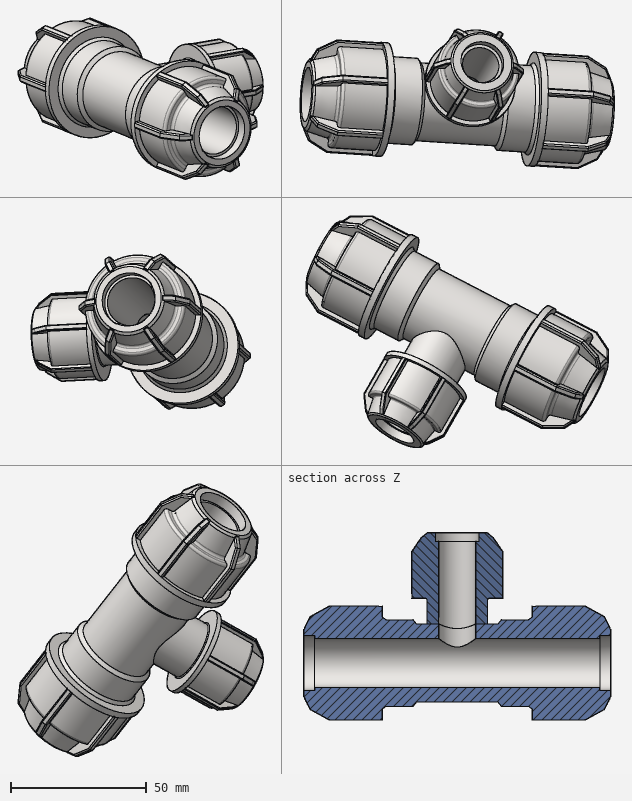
import cadquery as cq
import math


RIB_COUNT = 6
RIB_EMBEDMENT = 1.5
SELECT_MARGIN = 0.1

run_length = 113.0
run_pipe_dia = 20.0
run_bore_dia = 18.0
run_mouth_depth = 4.0
run_tube_dia = 28.8
run_socket_dia = 32.0
run_collar_dia = 34.0
run_collar_length = 1.3
run_socket_end = 40.3
run_socket_taper = 1.3

branch_reach = 48.0
branch_pipe_dia = 16.0
branch_bore_dia = 13.6
branch_mouth_depth = run_mouth_depth * branch_pipe_dia / run_pipe_dia
branch_tube_dia = 22.4
branch_collar_dia = 23.4
branch_collar_length = 0.35

run_nut = {
    "face_radius": 12.35,
    "edge_radius": 13.4,
    "edge_depth": 0.8,
    "neck_radius": 15.45,
    "shoulder": 9.6,
    "neck_fillet": 1.05,
    "shoulder_fillet": 1.1,
    "body_radius": 0.95 * run_pipe_dia,
    "flange_radius": 1.05 * run_pipe_dia,
    "flange_start": 26.5,
    "flange_end": 29.0,
    "first_rib_angle": 30,
    "rib_width": run_pipe_dia / 8,
    "rib_chamfer": 0.5,
    "rib_outline": [(9.5, 1.05 * run_pipe_dia), (2.4, 17.1), (0.3, 13.0)],
}
branch_nut = {
    "face_radius": 11.0,
    "edge_radius": 11.7,
    "edge_depth": 0.5,
    "neck_radius": 12.9,
    "shoulder": 7.0,
    "neck_fillet": 0.2,
    "shoulder_fillet": 0.8,
    "body_radius": 0.95 * branch_pipe_dia,
    "flange_radius": 1.05 * branch_pipe_dia,
    "flange_start": 22.4,
    "flange_end": 24.2,
    "first_rib_angle": 0,
    "rib_width": branch_pipe_dia / 8,
    "rib_chamfer": 0.3,
    "rib_outline": [(7.0, 1.05 * branch_pipe_dia), (1.9, 13.3), (0.4, 11.5)],
}


def nut_blank(nut):
    """Turned nut around Z, its open end at z = 0 and its flange further up."""
    arc_middle = 1 - math.sqrt(0.5)
    neck, body = nut["neck_radius"], nut["body_radius"]
    shoulder, inner, outer = nut["shoulder"], nut["neck_fillet"], nut["shoulder_fillet"]
    profile = (
        cq.Workplane("XZ")
        .lineTo(nut["face_radius"], 0)
        .lineTo(nut["edge_radius"], nut["edge_depth"])
        .lineTo(neck, shoulder - inner)
        .threePointArc((neck + inner * arc_middle, shoulder - inner * arc_middle), (neck + inner, shoulder))
        .lineTo(body - outer, shoulder)
        .threePointArc((body - outer * arc_middle, shoulder + outer * arc_middle), (body, shoulder + outer))
        .lineTo(body, nut["flange_start"])
        .lineTo(nut["flange_radius"], nut["flange_start"])
        .lineTo(nut["flange_radius"], nut["flange_end"])
        .lineTo(0, nut["flange_end"])
        .close()
    )
    return profile.revolve(360, (0, 0, 0), (0, 1, 0))


def nut_rib(nut):
    """One rib in the XZ plane, from the flange to the open end, with chamfered outer edges."""
    (top_depth, top_radius), (middle_depth, middle_radius), (tip_depth, tip_radius) = nut["rib_outline"]
    root_radius = nut["face_radius"] - RIB_EMBEDMENT
    rib = (
        cq.Workplane("XZ")
        .moveTo(root_radius, nut["flange_start"])
        .lineTo(top_radius, nut["flange_start"])
        .lineTo(top_radius, top_depth)
        .lineTo(middle_radius, middle_depth)
        .lineTo(tip_radius, tip_depth)
        .lineTo(root_radius, tip_depth)
        .close()
        .extrude(nut["rib_width"] / 2, both=True)
    )
    outer_edges = cq.selectors.BoxSelector(
        (tip_radius - SELECT_MARGIN, -nut["rib_width"], tip_depth - SELECT_MARGIN),
        (top_radius + SELECT_MARGIN, nut["rib_width"], nut["flange_start"] - SELECT_MARGIN),
    )
    return rib.edges("not |Y").edges(outer_edges).chamfer(nut["rib_chamfer"])


def make_nut(nut):
    """Solid nut with evenly spaced ribs; the bores are cut later."""
    solid = nut_blank(nut)
    rib = nut_rib(nut)
    for index in range(RIB_COUNT):
        angle = nut["first_rib_angle"] + index * 360 / RIB_COUNT
        solid = solid.union(rib.rotate((0, 0, 0), (0, 0, 1), angle))
    return solid


def make_run_end():
    """Nut and socket around Z, from the open end at z = 0 to the socket's inner taper."""
    collar_end = run_nut["flange_end"] + run_collar_length
    socket = (
        cq.Workplane("XZ")
        .moveTo(0, run_nut["flange_start"])
        .lineTo(run_collar_dia / 2, run_nut["flange_start"])
        .lineTo(run_collar_dia / 2, run_nut["flange_end"])
        .lineTo(run_socket_dia / 2, collar_end)
        .lineTo(run_socket_dia / 2, run_socket_end)
        .lineTo(run_tube_dia / 2, run_socket_end + run_socket_taper)
        .lineTo(0, run_socket_end + run_socket_taper)
        .close()
        .revolve(360, (0, 0, 0), (0, 1, 0))
    )
    mouth = cq.Workplane("XY").circle(run_pipe_dia / 2).extrude(run_mouth_depth)
    return make_nut(run_nut).union(socket).cut(mouth)


def run_cylinder(diameter, length):
    """Cylinder on the X axis, centred on the origin."""
    return cq.Workplane("YZ").circle(diameter / 2).extrude(length / 2, both=True)


def branch_bore():
    """Straight bore from the branch mouth down to the run's axis."""
    return cq.Workplane("XZ").circle(branch_bore_dia / 2).extrude(-branch_reach)


def make_run():
    """Body 1: straight tube with a socket and nut at both ends, bored through."""
    left_end = make_run_end().rotate((0, 0, 0), (0, 1, 0), 90).translate((-run_length / 2, 0, 0))
    right_end = left_end.mirror("YZ")
    tube = run_cylinder(run_tube_dia, run_length - 2 * run_socket_end)
    run = tube.union(left_end).union(right_end)
    bore_length = run_length - 2 * run_mouth_depth
    return run.cut(run_cylinder(run_bore_dia, bore_length)).cut(branch_bore())


def make_branch():
    """Body 2: nut and stub, ending in a saddle on the outside of the run's tube."""
    collar = (
        cq.Workplane("XZ")
        .moveTo(0, branch_nut["flange_end"])
        .lineTo(branch_collar_dia / 2, branch_nut["flange_end"])
        .lineTo(branch_tube_dia / 2, branch_nut["flange_end"] + branch_collar_length)
        .lineTo(branch_tube_dia / 2, branch_reach)
        .lineTo(0, branch_reach)
        .close()
        .revolve(360, (0, 0, 0), (0, 1, 0))
    )
    mouth = cq.Workplane("XY").circle(branch_pipe_dia / 2).extrude(branch_mouth_depth)
    upright = make_nut(branch_nut).union(collar).cut(mouth)
    branch = upright.rotate((0, 0, 0), (1, 0, 0), 90).translate((0, branch_reach, 0))
    return branch.cut(run_cylinder(run_tube_dia, run_length)).cut(branch_bore())


run_body = make_run()
branch_body = make_branch()

result = cq.Compound.makeCompound([run_body.val(), branch_body.val()])